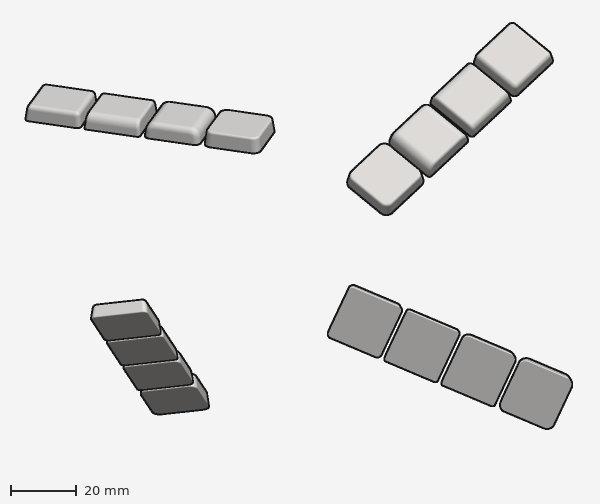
import cadquery as cq
import math

row_length = 74.9
key_width = 17.9
key_height = 5.0
key_count = 4
key_pitch = (row_length - key_width) / (key_count - 1)

wall_draft = 6.8
bottom_round = 0.3

even_round = 1.5
soft_front_round = 3.0
soft_back_round = 2.0
soft_side_round = 1.0
barrel_side_round = 3.0
barrel_front_round = 2.0
barrel_back_round = 1.0
cushion_corner_round = 2.5
cushion_top_round = 0.75

draft_angle = math.radians(wall_draft)
bottom_cutback = bottom_round * (math.tan(draft_angle) + 1 / math.cos(draft_angle) - 1)
blank_width = key_width + 2 * bottom_cutback


def key_blank():
    """Sharp-edged square keycap with drafted walls, centred on the origin, bottom at z = 0."""
    return cq.Workplane("XY").rect(blank_width, blank_width).extrude(key_height, taper=wall_draft)


def round_bottom(key):
    """Round the edge all around the bottom face."""
    return key.faces("<Z").edges().fillet(bottom_round)


def even_key():
    """Keycap with one radius on all its corner and top edges."""
    return round_bottom(key_blank().edges("not <Z").fillet(even_round))


def soft_front_key():
    """Keycap with a broad front and back rounding, then a small one along both side profiles."""
    key = key_blank()
    key = key.faces(">Z").edges("<Y").fillet(soft_front_round)
    key = key.faces(">Z").edges(">Y").fillet(soft_back_round)
    for side in ("<X", ">X"):
        key = key.faces(side).edges("not <Z").fillet(soft_side_round)
    return round_bottom(key)


def barrel_key():
    """Keycap with broad left and right rounding, then one along the front and back profiles."""
    key = key_blank()
    for side in ("<X", ">X"):
        key = key.faces(">Z").edges(side).fillet(barrel_side_round)
    key = key.faces("<Y").edges("not <Z").fillet(barrel_front_round)
    key = key.faces(">Y").edges("not <Z").fillet(barrel_back_round)
    return round_bottom(key)


def cushion_key():
    """Keycap with wide round corners and a small rounding around the top face."""
    key = key_blank().edges("not(#Z)").fillet(cushion_corner_round)
    key = key.faces(">Z").edges().fillet(cushion_top_round)
    return round_bottom(key)


key_styles = [even_key, soft_front_key, barrel_key, cushion_key]
keys = []
for index, make_key in enumerate(key_styles):
    x_position = (index - (key_count - 1) / 2) * key_pitch
    keys.append(make_key().translate((x_position, 0, 0)).val())

result = cq.Compound.makeCompound(keys)